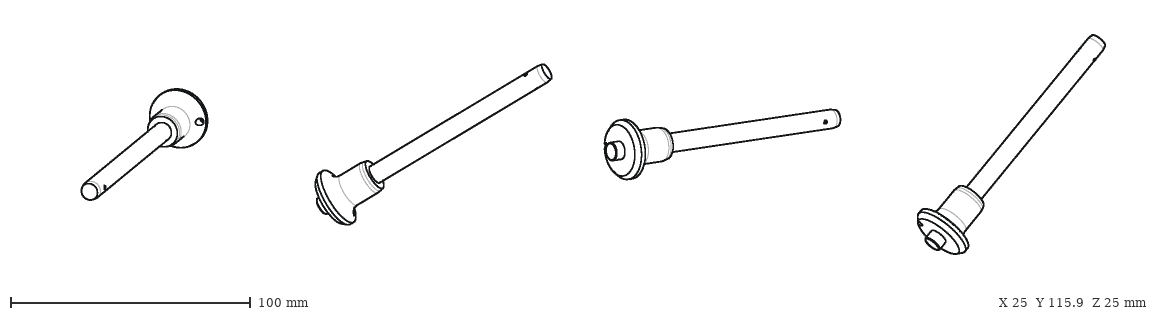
import cadquery as cq
import math

overall_length = 115.9

flange_face = 4.5
rim_start = 6.7
neck_start = 14.0
taper_start = 24.6
taper_break = 26.0
handle_end = 27.4
tip_taper_length = 2.2

button_radius = 3.8
button_chamfer = 0.3
flange_radius = 12.5
flange_bevel = 1.7
neck_radius = 7.2
taper_break_radius = 7.0
handle_end_radius = 6.6
pin_diameter = 8.0
pin_radius = pin_diameter / 2
tip_radius = 3.6

lanyard_hole_diameter = 3.0
lanyard_hole_offset = 10.0

ball_seat_diameter = 1.5
ball_seat_depth = 0.7
ball_seat_from_tip = 8.0

button_y = overall_length / 2
tip_y = -overall_length / 2


def station(distance):
    """Y position at a distance from the button end."""
    return button_y - distance


def pin_body():
    """Button, flared handle and pin, revolved about the Y axis."""
    flare_radius = flange_radius - neck_radius
    flare_y = station(neck_start)
    flare_reach = flare_radius * math.sqrt(0.5)
    flare_middle = (flange_radius - flare_reach, flare_y + flare_reach)
    return (
        cq.Workplane("XY")
        .moveTo(0, button_y)
        .lineTo(button_radius - button_chamfer, button_y)
        .lineTo(button_radius, station(button_chamfer))
        .lineTo(button_radius, station(flange_face))
        .lineTo(flange_radius - flange_bevel, station(flange_face))
        .lineTo(flange_radius, station(rim_start))
        .lineTo(flange_radius, flare_y + flare_radius)
        .threePointArc(flare_middle, (neck_radius, flare_y))
        .lineTo(neck_radius, station(taper_start))
        .lineTo(taper_break_radius, station(taper_break))
        .lineTo(handle_end_radius, station(handle_end))
        .lineTo(pin_radius, station(handle_end))
        .lineTo(pin_radius, tip_y + tip_taper_length)
        .lineTo(tip_radius, tip_y)
        .lineTo(0, tip_y)
        .close()
        .revolve(360, (0, 0, 0), (0, 1, 0))
    )


def lanyard_hole():
    """Cutter running along Y through the flange only."""
    return (
        cq.Workplane("XZ", origin=(lanyard_hole_offset, button_y, 0))
        .circle(lanyard_hole_diameter / 2)
        .extrude(neck_start)
    )


def ball_seat(side):
    """Cutter for the shallow seat on one side of the pin (side is -1 or 1)."""
    seat_floor = side * (pin_radius - ball_seat_depth)
    return (
        cq.Workplane("YZ", origin=(seat_floor, tip_y + ball_seat_from_tip, 0))
        .circle(ball_seat_diameter / 2)
        .extrude(side * pin_radius)
    )


result = pin_body().cut(lanyard_hole())
for side in (-1, 1):
    result = result.cut(ball_seat(side))